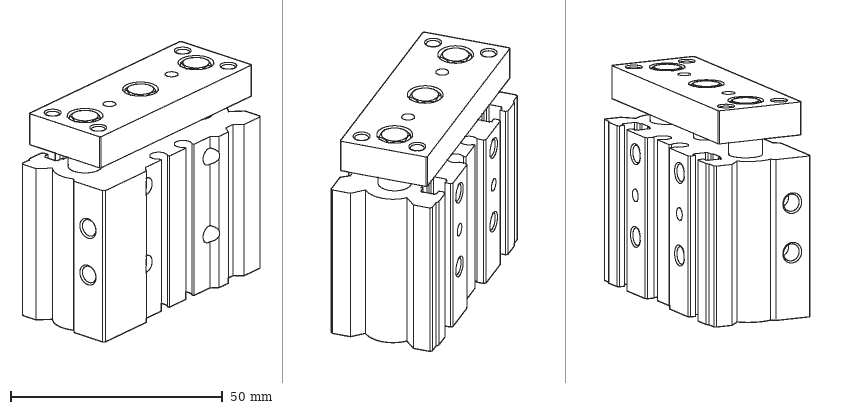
import cadquery as cq
import math


HOUSING_WIDTH = 26.0
HOUSING_LENGTH = 58.0
HOUSING_HEIGHT = 39.0
HALF_WIDTH = HOUSING_WIDTH / 2
HALF_LENGTH = HOUSING_LENGTH / 2
CORNER_CHAMFER = 0.45
END_STEP_DEPTH = 0.45
END_STEP_Y = 26.1
END_STEP_SLOPE = 0.75

GUIDE_ROD_Y = 20.5
GUIDE_ROD_DIAMETER = 8.0
PISTON_ROD_DIAMETER = 6.0
ROD_INSERTION = 6.0
ROD_BOTTOM = HOUSING_HEIGHT - ROD_INSERTION
PISTON_FLATS = 4.8
PISTON_FLAT_HEIGHT = 3.4

END_ARC_DIAMETER = 14.0
END_ARC_CREST_Y = 28.6
WIDE_JOIN_X = 5.2
NARROW_JOIN_X = 2.8

T_SLOT_Y = 18.5
T_SLOT_MOUTH = 4.3
T_SLOT_CAVITY_WIDTH = 7.7
T_SLOT_GROOVE_WIDTH = 3.9
T_SLOT_CAVITY_CHAMFER = 0.45
T_SLOT_LIP_X = -11.2
T_SLOT_SHOULDER_X = -7.2
T_SLOT_FLOOR_X = -6.65

SENSOR_SLOT_Y = 4.5
SENSOR_SLOT_DIAMETER = 4.2
SENSOR_SLOT_MOUTH = 2.9
SENSOR_SLOT_X = 9.35
LAND_X = 11.4
LAND_RECESS_Y = SENSOR_SLOT_Y + SENSOR_SLOT_MOUTH / 2

RELIEF_Y = 13.45
V_GROOVE_Y = 19.7
V_GROOVE_MOUTH = 5.8
V_GROOVE_FLOOR = 2.65
V_GROOVE_DEPTH = 2.05

HOLE_ROW_Y = 11.5
THREAD_DIAMETER = 4.2
THREAD_MOUTH = 5.0
MOUNT_HOLE_HEIGHTS = (14.0, 34.0)
DOWEL_DIAMETER = 3.0
SIDE_DOWEL_HEIGHT = 24.0
SIDE_DOWEL_DEPTH = 6.0
PORT_X = 8.0
PORT_HEIGHTS = (16.0, 28.0)
PORT_DIAMETER = 4.1
PORT_DEPTH = 6.0

PLATE_WIDTH = 22.0
PLATE_LENGTH = 55.95
PLATE_BOTTOM = 44.0
PLATE_TOP = 52.0
PLATE_THICKNESS = PLATE_TOP - PLATE_BOTTOM
PLATE_EDGE_CHAMFER = 0.3
PLATE_HOLE_X = 7.0
PLATE_HOLE_Y = 24.0
PLATE_HOLE_DIAMETER = 3.25
PLATE_HOLE_MOUTH = 4.0

COUNTERBORE_DIAMETER = 8.4
COUNTERBORE_DEPTH = 4.0
HEAD_ACROSS_FLATS = 6.5
HEAD_TOP_DIAMETER = 6.25
HEAD_CHAMFER_ANGLE = 30.0


def prism(points):
    """Closed XY outline raised over the full housing height."""
    return cq.Workplane("XY").polyline(points).close().extrude(HOUSING_HEIGHT)


def drill(mouth, direction, diameter, depth, mouth_diameter=None):
    """Hole cutter, with a 45 degree countersink when a mouth diameter is given."""
    start = cq.Vector(*mouth)
    axis = cq.Vector(*direction)
    cutter = cq.Solid.makeCylinder(diameter / 2, depth, start, axis)
    if mouth_diameter is not None:
        sink_depth = (mouth_diameter - diameter) / 2
        sink = cq.Solid.makeCone(mouth_diameter / 2, diameter / 2, sink_depth, start, axis)
        cutter = cutter.fuse(sink)
    return cq.Workplane(obj=cutter)


def housing_block():
    """Chamfered block with a slightly raised pad on its -X face."""
    back_x = -HALF_WIDTH + END_STEP_DEPTH
    core = (
        cq.Workplane("XY")
        .box(HALF_WIDTH - back_x, HOUSING_LENGTH, HOUSING_HEIGHT, centered=(False, True, False))
        .translate((back_x, 0, 0))
        .edges("|Z")
        .chamfer(CORNER_CHAMFER)
    )
    pad_y = END_STEP_Y - END_STEP_SLOPE
    pad = prism([
        (0, -END_STEP_Y),
        (back_x, -END_STEP_Y),
        (-HALF_WIDTH, -pad_y),
        (-HALF_WIDTH, pad_y),
        (back_x, END_STEP_Y),
        (0, END_STEP_Y),
    ])
    return core.union(pad)


def end_recess(left_join_x, right_join_x):
    """Recess in the +Y end: two 45 degree sides with a convex arc between them."""
    radius = END_ARC_DIAMETER / 2
    centre_y = END_ARC_CREST_Y - radius
    left_join_y = centre_y + math.sqrt(radius**2 - left_join_x**2)
    right_join_y = centre_y + math.sqrt(radius**2 - right_join_x**2)
    left_edge_x = -left_join_x - (HALF_LENGTH - left_join_y)
    right_edge_x = right_join_x + (HALF_LENGTH - right_join_y)
    return (
        cq.Workplane("XY")
        .moveTo(left_edge_x, HALF_LENGTH)
        .lineTo(-left_join_x, left_join_y)
        .threePointArc((0, END_ARC_CREST_Y), (right_join_x, right_join_y))
        .lineTo(right_edge_x, HALF_LENGTH)
        .close()
        .extrude(HOUSING_HEIGHT)
    )


def t_slot():
    """T-slot in the -X face, centred on Y = 0, with chamfered mouth edges."""
    mouth = T_SLOT_MOUTH / 2
    flare = mouth + CORNER_CHAMFER
    cavity_length = T_SLOT_SHOULDER_X - T_SLOT_LIP_X
    cavity = (
        cq.Workplane("XY")
        .box(cavity_length, T_SLOT_CAVITY_WIDTH, HOUSING_HEIGHT, centered=(False, True, False))
        .translate((T_SLOT_LIP_X, 0, 0))
        .edges("|Z")
        .chamfer(T_SLOT_CAVITY_CHAMFER)
    )
    throat = prism([
        (-HALF_WIDTH, -flare),
        (-HALF_WIDTH + CORNER_CHAMFER, -mouth),
        (T_SLOT_SHOULDER_X, -mouth),
        (T_SLOT_SHOULDER_X, mouth),
        (-HALF_WIDTH + CORNER_CHAMFER, mouth),
        (-HALF_WIDTH, flare),
    ])
    groove_depth = T_SLOT_FLOOR_X - T_SLOT_SHOULDER_X
    groove = (
        cq.Workplane("XY")
        .box(groove_depth, T_SLOT_GROOVE_WIDTH, HOUSING_HEIGHT, centered=(False, True, False))
        .translate((T_SLOT_SHOULDER_X, 0, 0))
    )
    return throat.union(cavity).union(groove)


def sensor_slot(side, y):
    """Round-bottomed slot opening toward side * X."""
    round_bottom = (
        cq.Workplane("XY")
        .center(side * SENSOR_SLOT_X, y)
        .circle(SENSOR_SLOT_DIAMETER / 2)
        .extrude(HOUSING_HEIGHT)
    )
    mouth_length = HALF_WIDTH - SENSOR_SLOT_X
    mouth = (
        cq.Workplane("XY")
        .center(side * (SENSOR_SLOT_X + mouth_length / 2), y)
        .rect(mouth_length, SENSOR_SLOT_MOUTH)
        .extrude(HOUSING_HEIGHT)
    )
    return round_bottom.union(mouth)


def land_recess():
    """Recess in the -X face holding the land between the sensor slots."""
    flare_y = LAND_RECESS_Y + CORNER_CHAMFER
    flare_x = -HALF_WIDTH + CORNER_CHAMFER
    return prism([
        (-HALF_WIDTH, -flare_y),
        (flare_x, -LAND_RECESS_Y),
        (-LAND_X, -LAND_RECESS_Y),
        (-LAND_X, LAND_RECESS_Y),
        (flare_x, LAND_RECESS_Y),
        (-HALF_WIDTH, flare_y),
    ])


def front_relief():
    """Wide shallow relief with 45 degree sides in the +X face."""
    floor_y = RELIEF_Y - (HALF_WIDTH - LAND_X)
    return prism([
        (HALF_WIDTH, -RELIEF_Y),
        (LAND_X, -floor_y),
        (LAND_X, floor_y),
        (HALF_WIDTH, RELIEF_Y),
    ])


def v_groove():
    """Tapered groove in the +X face near the +Y end."""
    floor_x = HALF_WIDTH - V_GROOVE_DEPTH
    return prism([
        (HALF_WIDTH, V_GROOVE_Y - V_GROOVE_MOUTH / 2),
        (floor_x, V_GROOVE_Y - V_GROOVE_FLOOR / 2),
        (floor_x, V_GROOVE_Y + V_GROOVE_FLOOR / 2),
        (HALF_WIDTH, V_GROOVE_Y + V_GROOVE_MOUTH / 2),
    ])


def make_housing():
    """Extruded cylinder housing with its slots, rod seats, mounting holes and air ports."""
    body = housing_block()
    body = body.cut(end_recess(WIDE_JOIN_X, WIDE_JOIN_X))
    body = body.cut(end_recess(WIDE_JOIN_X, NARROW_JOIN_X).mirror("XZ"))
    body = body.cut(land_recess()).cut(front_relief()).cut(v_groove())

    for y_side in (-1, 1):
        body = body.cut(t_slot().translate((0, y_side * T_SLOT_Y, 0)))
        for x_side in (-1, 1):
            body = body.cut(sensor_slot(x_side, y_side * SENSOR_SLOT_Y))

        hole_y = y_side * HOLE_ROW_Y
        for z in MOUNT_HOLE_HEIGHTS:
            mouth = (-HALF_WIDTH, hole_y, z)
            body = body.cut(drill(mouth, (1, 0, 0), THREAD_DIAMETER, HOUSING_WIDTH, THREAD_MOUTH))
        mouth = (-HALF_WIDTH, hole_y, SIDE_DOWEL_HEIGHT)
        body = body.cut(drill(mouth, (1, 0, 0), DOWEL_DIAMETER, SIDE_DOWEL_DEPTH))

    down = (0, 0, -1)
    body = body.cut(drill((0, 0, HOUSING_HEIGHT), down, PISTON_ROD_DIAMETER, ROD_INSERTION))
    for y in (-GUIDE_ROD_Y, GUIDE_ROD_Y):
        body = body.cut(drill((0, y, HOUSING_HEIGHT), down, GUIDE_ROD_DIAMETER, ROD_INSERTION))

    for z in PORT_HEIGHTS:
        mouth = (PORT_X, -HALF_LENGTH, z)
        body = body.cut(drill(mouth, (0, 1, 0), PORT_DIAMETER, PORT_DEPTH, THREAD_MOUTH))
    return body


def guide_rod(y):
    """Guide rod from its seat in the housing up to the plate."""
    return (
        cq.Workplane("XY", origin=(0, y, ROD_BOTTOM))
        .circle(GUIDE_ROD_DIAMETER / 2)
        .extrude(PLATE_BOTTOM - ROD_BOTTOM)
    )


def piston_rod():
    """Piston rod with two spanner flats under the plate."""
    rod = (
        cq.Workplane("XY", origin=(0, 0, ROD_BOTTOM))
        .circle(PISTON_ROD_DIAMETER / 2)
        .extrude(PLATE_BOTTOM - ROD_BOTTOM)
    )
    flat_zone = cq.Workplane("XY", origin=(0, 0, PLATE_BOTTOM - PISTON_FLAT_HEIGHT))
    outside = flat_zone.rect(PISTON_ROD_DIAMETER, PISTON_ROD_DIAMETER).extrude(PISTON_FLAT_HEIGHT)
    between = flat_zone.rect(PISTON_FLATS, PISTON_ROD_DIAMETER).extrude(PISTON_FLAT_HEIGHT)
    return rod.cut(outside.cut(between))


def screw_head(y):
    """Hexagon head, flush with the plate, its top corners turned to a cone."""
    corner_diameter = HEAD_ACROSS_FLATS / math.cos(math.pi / 6)
    bottom = PLATE_TOP - COUNTERBORE_DEPTH
    hexagon = (
        cq.Workplane("XY", origin=(0, y, bottom))
        .transformed(rotate=(0, 0, 90))
        .polygon(6, corner_diameter)
        .extrude(COUNTERBORE_DEPTH)
    )
    cone_width = (corner_diameter - HEAD_TOP_DIAMETER) / 2
    cone_height = cone_width * math.tan(math.radians(HEAD_CHAMFER_ANGLE))
    turned = (
        cq.Workplane("XY", origin=(0, y, bottom))
        .circle(corner_diameter / 2)
        .extrude(COUNTERBORE_DEPTH - cone_height)
        .faces(">Z")
        .workplane()
        .circle(corner_diameter / 2)
        .workplane(offset=cone_height)
        .circle(HEAD_TOP_DIAMETER / 2)
        .loft()
    )
    return hexagon.intersect(turned)


def make_plate_and_rods():
    """End plate with its holes, sunk screw heads, guide rods and piston rod."""
    down = (0, 0, -1)
    body = (
        cq.Workplane("XY", origin=(0, 0, PLATE_BOTTOM))
        .rect(PLATE_WIDTH, PLATE_LENGTH)
        .extrude(PLATE_THICKNESS)
        .edges("|Z")
        .chamfer(PLATE_EDGE_CHAMFER)
    )
    for y_side in (-1, 1):
        for x_side in (-1, 1):
            mouth = (x_side * PLATE_HOLE_X, y_side * PLATE_HOLE_Y, PLATE_TOP)
            body = body.cut(drill(mouth, down, PLATE_HOLE_DIAMETER, PLATE_THICKNESS, PLATE_HOLE_MOUTH))
        body = body.cut(drill((0, y_side * HOLE_ROW_Y, PLATE_TOP), down, DOWEL_DIAMETER, PLATE_THICKNESS))

    for y in (-GUIDE_ROD_Y, 0, GUIDE_ROD_Y):
        body = body.cut(drill((0, y, PLATE_TOP), down, COUNTERBORE_DIAMETER, COUNTERBORE_DEPTH))
        body = body.union(screw_head(y))

    for y in (-GUIDE_ROD_Y, GUIDE_ROD_Y):
        body = body.union(guide_rod(y))
    return body.union(piston_rod())


housing = make_housing()
plate_and_rods = make_plate_and_rods()

result = cq.Compound.makeCompound([*housing.solids().vals(), *plate_and_rods.solids().vals()])